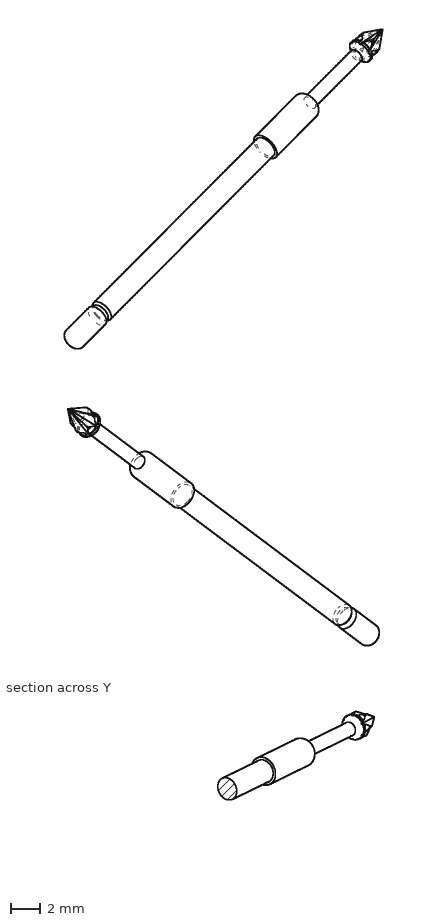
import cadquery as cq
import math

total_length = 35.3
full_turn = 360.0

head_diameter = 1.8
head_radius = head_diameter / 2
tip_half_angle = 32.0
shoulder_end = 1.9
neck_radius = 0.8
neck_end_radius = 0.85
collar_start = 2.35
collar_end = 2.58
neck_middle = (shoulder_end + collar_start) / 2
tip_length = head_radius / math.tan(math.radians(tip_half_angle))

flute_count = 6
flute_floor_angle = 18.0
flute_half_angle = 60.0
flute_depth = 1.4
flute_length = 4.25

rod_radius = 0.5
head_end = collar_end + head_radius - rod_radius

sleeve_diameter = 2.0
sleeve_radius = sleeve_diameter / 2
sleeve_front = 8.3
sleeve_back = 13.3
sleeve_fillet = 0.42

barrel_radius = 0.8
groove_back = 2.93
groove_bottom = 3.3
groove_front = 3.45
groove_radius = 0.67
tail_fillet = 0.4


def from_tip(distance):
    return total_length - distance


def make_turned_body():
    """Revolve the half outline (radius, y) about the Y axis."""
    arc_offset = tail_fillet * math.sqrt(0.5)
    fillet_centre_radius = barrel_radius - tail_fillet
    outline = (
        cq.Workplane("XY")
        .moveTo(0, 0)
        .lineTo(fillet_centre_radius, 0)
        .threePointArc(
            (fillet_centre_radius + arc_offset, tail_fillet - arc_offset),
            (barrel_radius, tail_fillet),
        )
        .lineTo(barrel_radius, groove_back)
        .lineTo(groove_radius, groove_bottom)
        .lineTo(barrel_radius, groove_front)
        .lineTo(barrel_radius, from_tip(sleeve_back))
        .lineTo(sleeve_radius, from_tip(sleeve_back))
        .lineTo(sleeve_radius, from_tip(sleeve_front + sleeve_fillet))
        .tangentArcPoint(
            (sleeve_radius - sleeve_fillet, from_tip(sleeve_front)), relative=False
        )
        .lineTo(rod_radius, from_tip(sleeve_front))
        .lineTo(rod_radius, from_tip(head_end))
        .lineTo(head_radius, from_tip(collar_end))
        .lineTo(head_radius, from_tip(collar_start))
        .lineTo(neck_end_radius, from_tip(collar_start))
        .threePointArc(
            (neck_radius, from_tip(neck_middle)),
            (head_radius, from_tip(shoulder_end)),
        )
        .lineTo(head_radius, from_tip(tip_length))
        .lineTo(0, total_length)
        .close()
    )
    return outline.revolve(full_turn, (0, 0, 0), (0, 1, 0))


def make_flute():
    """V prism with its floor through the tip, tilted to climb toward the tail."""
    half_width = flute_depth * math.tan(math.radians(flute_half_angle))
    prism = (
        cq.Workplane("XZ")
        .polyline([(0, 0), (half_width, flute_depth), (-half_width, flute_depth)])
        .close()
        .extrude(flute_length, both=True)
    )
    tilted = prism.rotate((0, 0, 0), (1, 0, 0), -flute_floor_angle)
    return tilted.translate((0, total_length, 0))


result = make_turned_body()
flute = make_flute()
for index in range(flute_count):
    angle = index * full_turn / flute_count
    result = result.cut(flute.rotate((0, 0, 0), (0, 1, 0), angle))